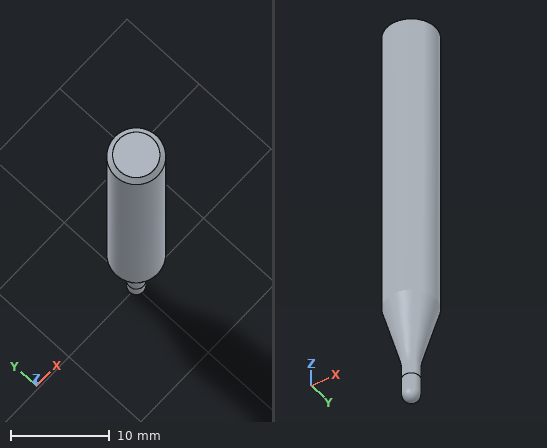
import cadquery as cq
import math

total_length = 50.0
shank_radius = 3.0
tip_radius = 1.0
tip_length = 3.0
neck_top = 4.4
flare_radius = 5.0
cone_angle = math.radians(15)
chamfer_width = 0.6
chamfer_height = 0.5

flare_center_radius = tip_radius + flare_radius


def flare_point(angle):
    """Radius and height on the flare where its slope from the axis is angle."""
    return (
        flare_center_radius - flare_radius * math.cos(angle),
        neck_top + flare_radius * math.sin(angle),
    )


def revolve_profile(profile):
    """Turn a closed radius-height profile around the Z axis."""
    return profile.close().revolve(360, (0, 0, 0), (0, 1, 0))


def make_tip():
    """Round bar with a hemispherical lower end."""
    ball_mid = tip_radius * math.sqrt(0.5)
    profile = (
        cq.Workplane("XZ")
        .moveTo(0, 0)
        .threePointArc((ball_mid, tip_radius - ball_mid), (tip_radius, tip_radius))
        .lineTo(tip_radius, tip_length)
        .lineTo(0, tip_length)
    )
    return revolve_profile(profile)


def make_shank():
    """Neck, flare, cone and chamfered cylindrical shank."""
    flare_end = flare_point(cone_angle)
    cone_height = (shank_radius - flare_end[0]) / math.tan(cone_angle)
    cone_top = flare_end[1] + cone_height
    profile = (
        cq.Workplane("XZ")
        .moveTo(0, tip_length)
        .lineTo(tip_radius, tip_length)
        .lineTo(tip_radius, neck_top)
        .threePointArc(flare_point(cone_angle / 2), flare_end)
        .lineTo(shank_radius, cone_top)
        .lineTo(shank_radius, total_length - chamfer_height)
        .lineTo(shank_radius - chamfer_width, total_length)
        .lineTo(0, total_length)
    )
    return revolve_profile(profile)


tip = make_tip()
shank = make_shank()

result = cq.Compound.makeCompound([tip.val(), shank.val()])